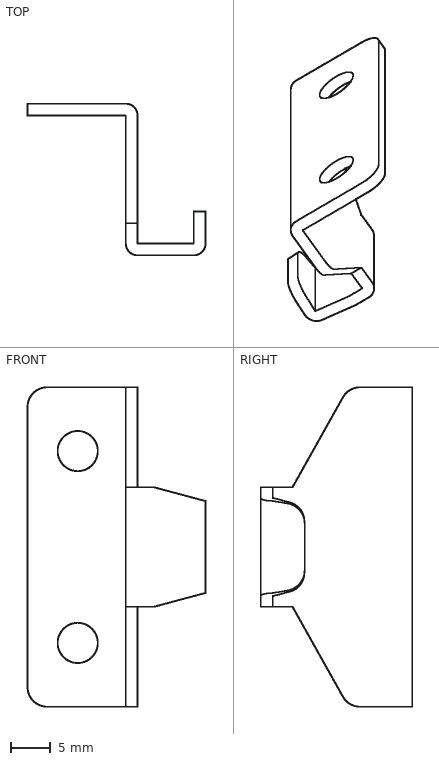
import cadquery as cq
import math

thickness = 1.5
bend_radius = thickness

height = 40.0
depth = 19.0
width = 22.3
flange_width = 13.8
corner_radius = 2.5

hole_diameter = 5.0
hole_x = 6.3
hole_spacing = 24.0

slope_start_depth = 8.0
slope_end_depth = 15.0

tab_height = 15.0
taper_start_x = flange_width + 2.0
taper_slope = math.tan(math.radians(15.0))
lip_depth = 5.5

web_inner_x = flange_width - thickness
lip_inner_x = width - thickness
tab_inner_y = thickness - depth
lip_tip_y = lip_depth - depth
half_height = height / 2
half_tab = tab_height / 2


def tab_half_height(x):
    """Half height of the tapered tab at position x."""
    return half_tab - (x - taper_start_x) * taper_slope


def bent_strip():
    """Flange, web and tab as one bent strip of full height, without the lip."""
    bend_offset = bend_radius * math.sqrt(0.5)
    flange_bend = (flange_width - bend_radius, -bend_radius)
    tab_bend = (web_inner_x + bend_radius, bend_radius - depth)
    lip_bend = (width - bend_radius, bend_radius - depth)
    profile = (
        cq.Workplane("XY")
        .moveTo(0, 0)
        .lineTo(flange_bend[0], 0)
        .threePointArc(
            (flange_bend[0] + bend_offset, flange_bend[1] + bend_offset),
            (flange_width, flange_bend[1]),
        )
        .lineTo(flange_width, tab_inner_y)
        .lineTo(width, tab_inner_y)
        .threePointArc(
            (lip_bend[0] + bend_offset, lip_bend[1] - bend_offset),
            (lip_bend[0], -depth),
        )
        .lineTo(tab_bend[0], -depth)
        .threePointArc(
            (tab_bend[0] - bend_offset, tab_bend[1] - bend_offset),
            (web_inner_x, tab_bend[1]),
        )
        .lineTo(web_inner_x, -thickness)
        .lineTo(0, -thickness)
        .close()
    )
    return profile.extrude(half_height, both=True)


def side_outline():
    """Web outline in YZ, extended across the full width."""
    outline = [
        (0, half_height),
        (-slope_start_depth, half_height),
        (-slope_end_depth, half_tab),
        (-depth, half_tab),
        (-depth, -half_tab),
        (-slope_end_depth, -half_tab),
        (-slope_start_depth, -half_height),
        (0, -half_height),
    ]
    block = cq.Workplane("YZ").polyline(outline).close().extrude(width)
    slope_corners = cq.selectors.BoxSelector(
        (0, -slope_start_depth - thickness, -height),
        (width, -slope_start_depth + thickness, height),
    )
    return block.edges("|X").edges(slope_corners).fillet(corner_radius)


def front_outline():
    """Flange and tapered tab outline in XZ, extended across the full depth."""
    end_half_height = tab_half_height(width)
    outline = [
        (0, half_height),
        (flange_width, half_height),
        (flange_width, half_tab),
        (taper_start_x, half_tab),
        (width, end_half_height),
        (width, -end_half_height),
        (taper_start_x, -half_tab),
        (flange_width, -half_tab),
        (flange_width, -half_height),
        (0, -half_height),
    ]
    block = cq.Workplane("XZ").polyline(outline).close().extrude(depth)
    return block.edges("|Y and <X").fillet(corner_radius)


def lip():
    """Lip narrowing toward its tip, ruled between its inner and outer faces, with rounded tip corners."""
    free_length = lip_tip_y - tab_inner_y
    tip_half = tab_half_height(lip_inner_x) - free_length * taper_slope

    def face_points(x):
        root_half = tab_half_height(x)
        return [
            (tab_inner_y, -root_half),
            (lip_tip_y, -tip_half),
            (lip_tip_y, tip_half),
            (tab_inner_y, root_half),
        ]

    body = (
        cq.Workplane("YZ", origin=(lip_inner_x, 0, 0))
        .polyline(face_points(lip_inner_x))
        .close()
        .workplane(offset=thickness)
        .polyline(face_points(width))
        .close()
        .loft(ruled=True)
    )
    return body.faces(">Y").edges(">Z or <Z").fillet(corner_radius)


def mounting_holes():
    """Cylinders through the flange, one above the other."""
    centers = [(hole_x, side * hole_spacing / 2) for side in (-1, 1)]
    return cq.Workplane("XZ").pushPoints(centers).circle(hole_diameter / 2).extrude(thickness)


bracket = bent_strip().intersect(side_outline()).intersect(front_outline())
result = bracket.union(lip()).cut(mounting_holes())